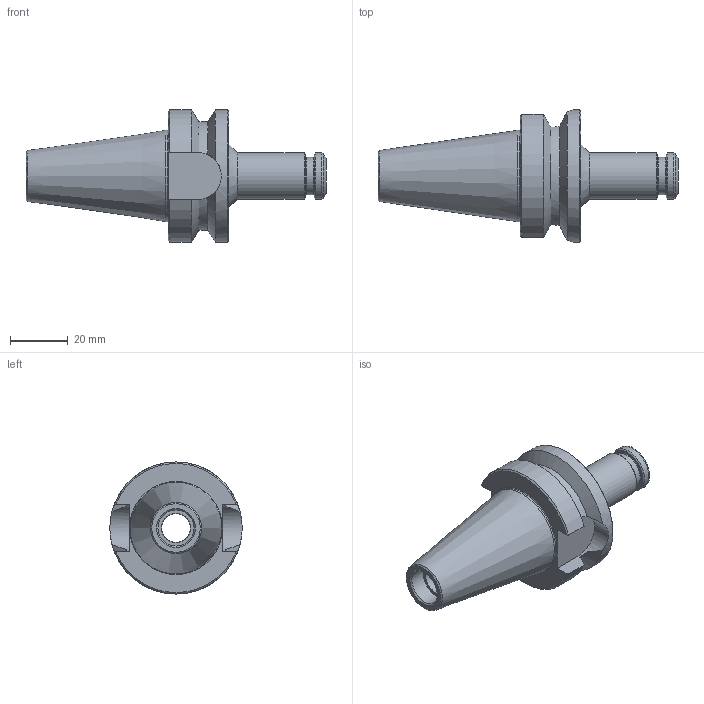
import cadquery as cq
import math


gauge_dia = 31.75
taper_length = 48.4
taper_rate = 7 / 24
taper_end_chamfer = 0.4
neck_length = 1.0
neck_fillet = 0.3

flange_dia = 45.92
flange_width = 21.0
flange_front_chamfer = 0.5
flange_back_chamfer = 0.3
groove_center_from_gauge = 13.2
groove_floor_dia = 37.7
groove_floor_width = 3.1
groove_half_angle = 32.0

slot_width = 16.5
slot_floor_offset = 16.2
slot_end_from_gauge = 19.5

overall_length = 104.27
shoulder_length = 3.1
shank_dia = 16.05
collar_dia = 16.0
ring_groove_dia = 12.95
ring_groove_start = 97.1
ring_groove_width = 3.1
ring_groove_edge_chamfer = 0.4
ring_groove_fillet = 0.25
tip_lead_length = 0.6
tip_lead_drop = 0.2
tip_cone_length = 0.95
tip_cone_angle = 60.0

pilot_dia = 12.55
pilot_depth = 6.0
pilot_chamfer = 0.5
thread_bore_dia = 10.16
thread_bore_end = 34.0
through_bore_dia = 9.96

gauge_x = taper_length
flange_x = gauge_x + neck_length
flange_end_x = flange_x + flange_width
shank_x = flange_end_x + shoulder_length
groove_center_x = gauge_x + groove_center_from_gauge
ring_groove_end = ring_groove_start + ring_groove_width

gauge_r = gauge_dia / 2
taper_end_r = gauge_r - taper_length * taper_rate / 2
flange_r = flange_dia / 2
shank_r = shank_dia / 2
collar_r = collar_dia / 2
ring_groove_r = ring_groove_dia / 2


def revolve_about_x(profile):
    """Revolve a profile of (x, radius) points about the X axis."""
    return profile.close().revolve(360, (0, 0, 0), (1, 0, 0))


def fillet_arc(profile, center, radius, mid_angle, end):
    """Add a concave corner arc through the point at mid_angle (degrees) about center."""
    angle = math.radians(mid_angle)
    middle = (center[0] + radius * math.cos(angle), center[1] + radius * math.sin(angle))
    return profile.threePointArc(middle, end)


def make_body():
    groove_floor_r = groove_floor_dia / 2
    floor_half = groove_floor_width / 2
    mouth_half = floor_half + (flange_r - groove_floor_r) * math.tan(math.radians(groove_half_angle))
    chamfer_r = taper_end_r + taper_end_chamfer * taper_rate / 2

    profile = (
        cq.Workplane("XY")
        .moveTo(0, 0)
        .lineTo(0, taper_end_r - taper_end_chamfer)
        .lineTo(taper_end_chamfer, chamfer_r)
        .lineTo(gauge_x, gauge_r)
        .lineTo(flange_x - neck_fillet, gauge_r)
    )
    neck_center = (flange_x - neck_fillet, gauge_r + neck_fillet)
    profile = fillet_arc(profile, neck_center, neck_fillet, -45, (flange_x, gauge_r + neck_fillet))

    profile = (
        profile
        .lineTo(flange_x, flange_r - flange_front_chamfer)
        .lineTo(flange_x + flange_front_chamfer, flange_r)
        .lineTo(groove_center_x - mouth_half, flange_r)
        .lineTo(groove_center_x - floor_half, groove_floor_r)
        .lineTo(groove_center_x + floor_half, groove_floor_r)
        .lineTo(groove_center_x + mouth_half, flange_r)
        .lineTo(flange_end_x - flange_back_chamfer, flange_r)
        .lineTo(flange_end_x, flange_r - flange_back_chamfer)
    )

    floor_start = ring_groove_start + ring_groove_fillet
    floor_end = ring_groove_end - ring_groove_fillet
    fillet_top_r = ring_groove_r + ring_groove_fillet
    profile = (
        profile
        .lineTo(flange_end_x, shank_r + shoulder_length)
        .lineTo(shank_x, shank_r)
        .lineTo(ring_groove_start - ring_groove_edge_chamfer, shank_r)
        .lineTo(ring_groove_start, shank_r - ring_groove_edge_chamfer)
        .lineTo(ring_groove_start, fillet_top_r)
    )
    profile = fillet_arc(
        profile, (floor_start, fillet_top_r), ring_groove_fillet, -135, (floor_start, ring_groove_r)
    )
    profile = profile.lineTo(floor_end, ring_groove_r)
    profile = fillet_arc(
        profile, (floor_end, fillet_top_r), ring_groove_fillet, -45, (ring_groove_end, fillet_top_r)
    )

    tip_cone_x = overall_length - tip_cone_length
    tip_cone_r = collar_r - tip_lead_drop
    tip_r = tip_cone_r - tip_cone_length * math.tan(math.radians(tip_cone_angle))
    profile = (
        profile
        .lineTo(ring_groove_end, collar_r - ring_groove_edge_chamfer)
        .lineTo(ring_groove_end + ring_groove_edge_chamfer, collar_r)
        .lineTo(tip_cone_x - tip_lead_length, collar_r)
        .lineTo(tip_cone_x, tip_cone_r)
        .lineTo(overall_length, tip_r)
        .lineTo(overall_length, 0)
    )
    return revolve_about_x(profile)


def make_bore():
    pilot_r = pilot_dia / 2
    thread_r = thread_bore_dia / 2
    through_r = through_bore_dia / 2
    profile = (
        cq.Workplane("XY")
        .moveTo(0, 0)
        .lineTo(0, pilot_r + pilot_chamfer)
        .lineTo(pilot_chamfer, pilot_r)
        .lineTo(pilot_depth, pilot_r)
        .lineTo(pilot_depth, thread_r)
        .lineTo(thread_bore_end, thread_r)
        .lineTo(thread_bore_end, through_r)
        .lineTo(overall_length, through_r)
        .lineTo(overall_length, 0)
    )
    return revolve_about_x(profile)


def make_drive_slot():
    """Round-ended slot on the +Y side, open toward the taper."""
    half_width = slot_width / 2
    slot_end_x = gauge_x + slot_end_from_gauge
    arc_center_x = slot_end_x - half_width
    slot_depth = flange_r - slot_floor_offset
    return (
        cq.Workplane("XZ", origin=(0, slot_floor_offset, 0))
        .moveTo(gauge_x, -half_width)
        .lineTo(arc_center_x, -half_width)
        .threePointArc((slot_end_x, 0), (arc_center_x, half_width))
        .lineTo(gauge_x, half_width)
        .close()
        .extrude(-slot_depth)
    )


drive_slot = make_drive_slot()
result = (
    make_body()
    .cut(make_bore())
    .cut(drive_slot)
    .cut(drive_slot.mirror("XZ"))
)